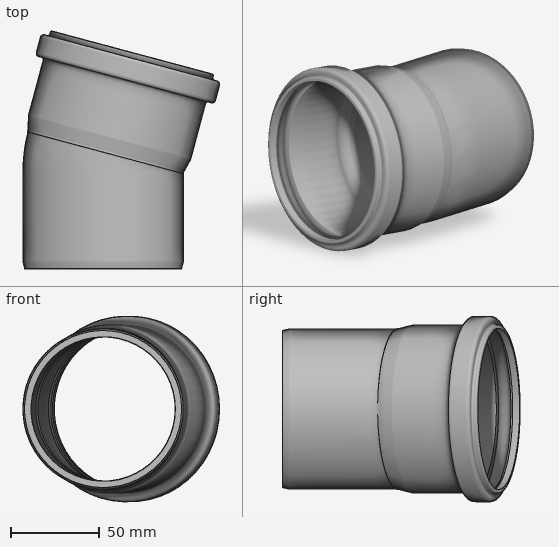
import cadquery as cq
import math

spigot_radius = 90.2 / 2
bore_radius = 81.1 / 2
spigot_length = 54.6
spigot_chamfer_length = 4.0
spigot_chamfer_depth = 1.0

bend_angle = 15
bend_radius = 45.5

collar_length = 1.1
collar_radius = 90.8 / 2
cone_end = 7.9
inner_cone_start = 3.6
socket_outer_radius = 94.7 / 2
socket_bore_radius = 90.5 / 2
bead_start = 41.5
bead_end = 54.2
bead_radius = 104.5 / 2
bead_rounding = 2.0
neck_fillet = 1.1
mouth_end = 57.3
lip_radius = 95 / 2
lip_rounding = 1.0
lip_fillet = 1.2
mouth_radius = 90.8 / 2
mouth_chamfer_length = 1.2
mouth_chamfer_depth = 0.7

groove_radius = 100.3 / 2
groove_start = 43.8
groove_end = 52.1

bend_end = (
    bend_radius * (1 - math.cos(math.radians(bend_angle))),
    spigot_length + bend_radius * math.sin(math.radians(bend_angle)),
)


def revolve_about_y(profile):
    """Revolve a closed XY profile a full turn about the Y axis."""
    return profile.close().revolve(360, (0, 0, 0), (0, 1, 0))


def place_on_bend_end(body):
    """Tilt a body built along +Y and move it to the end of the bend."""
    return body.rotate((0, 0, 0), (0, 0, 1), -bend_angle).translate((*bend_end, 0))


def make_bend(radius):
    """Solid round elbow joining the spigot to the socket."""
    circle = cq.Workplane("XZ", origin=(0, spigot_length, 0)).circle(radius)
    return circle.revolve(bend_angle, (bend_radius, 1.3, 0), (bend_radius, 0, 0))


def make_spigot():
    return revolve_about_y(
        cq.Workplane("XY")
        .moveTo(0, 0)
        .lineTo(spigot_radius - spigot_chamfer_depth, 0)
        .lineTo(spigot_radius, spigot_chamfer_length)
        .lineTo(spigot_radius, spigot_length)
        .lineTo(0, spigot_length)
    )


def make_spigot_bore():
    return cq.Workplane("XZ").circle(bore_radius).extrude(-spigot_length)


def make_socket():
    """Solid socket envelope with cone, filleted neck, rounded bead and lip."""
    body = revolve_about_y(
        cq.Workplane("XY")
        .moveTo(0, -collar_length)
        .lineTo(collar_radius, -collar_length)
        .lineTo(collar_radius, 0)
        .lineTo(socket_outer_radius, cone_end)
        .lineTo(socket_outer_radius, bead_start - neck_fillet)
        .radiusArc((socket_outer_radius + neck_fillet, bead_start), neck_fillet)
        .lineTo(bead_radius - bead_rounding, bead_start)
        .radiusArc((bead_radius, bead_start + bead_rounding), -bead_rounding)
        .lineTo(bead_radius, bead_end - bead_rounding)
        .radiusArc((bead_radius - bead_rounding, bead_end), -bead_rounding)
        .lineTo(lip_radius + lip_fillet, bead_end)
        .radiusArc((lip_radius, bead_end + lip_fillet), lip_fillet)
        .lineTo(lip_radius, mouth_end - lip_rounding)
        .radiusArc((lip_radius - lip_rounding, mouth_end), -lip_rounding)
        .lineTo(0, mouth_end)
    )
    return place_on_bend_end(body)


def make_socket_bore():
    """Socket cavity with an inner cone, the seal groove and a chamfered mouth."""
    cavity = revolve_about_y(
        cq.Workplane("XY")
        .moveTo(0, -collar_length)
        .lineTo(bore_radius, -collar_length)
        .lineTo(bore_radius, inner_cone_start)
        .lineTo(socket_bore_radius, cone_end)
        .lineTo(socket_bore_radius, groove_start)
        .lineTo(groove_radius, groove_start)
        .lineTo(groove_radius, groove_end)
        .lineTo(mouth_radius + mouth_chamfer_depth, groove_end)
        .lineTo(mouth_radius, groove_end + mouth_chamfer_length)
        .lineTo(mouth_radius, mouth_end)
        .lineTo(0, mouth_end)
    )
    return place_on_bend_end(cavity)


outside = make_spigot().union(make_bend(spigot_radius)).union(make_socket())
result = (
    outside.cut(make_spigot_bore())
    .cut(make_bend(bore_radius))
    .cut(make_socket_bore())
)